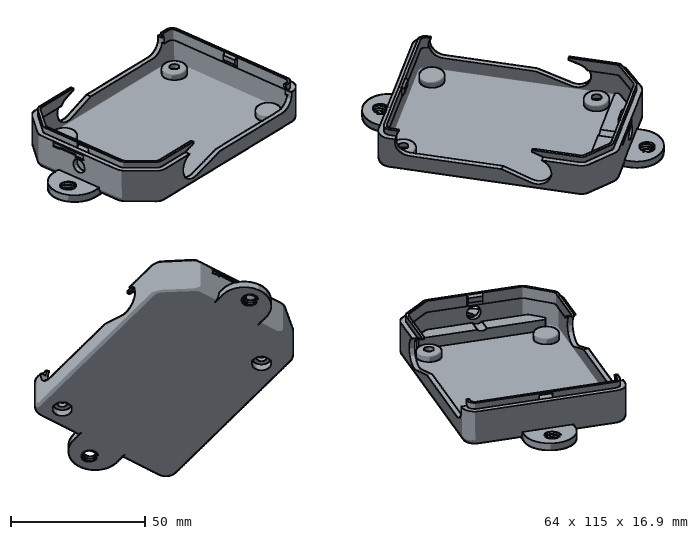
import cadquery as cq
import math

body_width = 64.0
body_length = 90.0
rim_height = 14.4
wall = 2.1
floor_thickness = 2.0
corner_radius = 5.0
bottom_fillet = 2.4
floor_fillet = 0.4
bevel_x = 12.0
bevel_y = 10.0

lip_thickness = 1.05
lip_bottom = 12.2
lip_top = 16.9
tip_round = 0.45

catch_base_width = 6.2
catch_face_width = 5.5
catch_depth = 1.0
catch_face_bottom = 14.0
catch_face_top = 16.0
groove_width = 5.3
groove_depth = 1.0
groove_apex_z = 15.6
groove_top = 16.7

ear_width = 20.0
ear_thickness = 3.0
overall_length = 115.0
ear_hole_y = 51.0
thread_minor_diameter = 5.12
thread_major_diameter = 6.35
thread_pitch = 1.27
thread_mouth = 0.9 * thread_pitch
thread_root_flat = thread_pitch / 8
thread_start_angle = 180.0

boss_diameter = 9.6
boss_height = 3.0
boss_fillet = 1.0
boss_hole_diameter = 3.7
counterbore_diameter = 7.2
counterbore_depth = 3.0
boss_x = 23.0
boss_rear_y = 36.5
boss_front_y = -26.5
drilled_bosses = [(-boss_x, boss_rear_y), (boss_x, boss_front_y)]
solid_bosses = [(boss_x, boss_rear_y), (-boss_x, boss_front_y)]

led_diameter = 5.5
led_z = 8.5
block_top = 6.5
block_rear_y = -33.0
block_front_y = -39.0
block_front_half_width = 20.0
block_shoulder_half_width = 24.8
block_widest_half_width = 25.2
block_bevel_y = -35.0
mark_depth = 0.5
mark_left_x = -12.7
mark_left_leg_x = -9.5
mark_right_leg_x = -1.9
mark_right_x = 2.1
mark_top_z = 13.9
mark_bar_bottom_z = 12.5
mark_left_leg_z = 12.1
mark_right_leg_z = 11.8

rear_radius = 5.6
hook_radius = 5.9
hook_centre_z = 8.95
sill_z = 7.65
hook_tip_y = -14.3
left_rear_centre_y = 32.05
left_sill_front_y = -3.3
left_hook_centre_y = -16.4
right_rear_centre_y = 33.75
right_sill_front_y = -1.6
right_hook_centre_y = -16.8

half_width = body_width / 2
half_length = body_length / 2
lip_inset = wall + lip_thickness
boss_top = floor_thickness + boss_height
overshoot = 1.0


def prism(inset, bottom, top):
    """Solid between two heights whose outline lies inset from the body outline."""
    corners = [
        (-half_width, half_length),
        (half_width, half_length),
        (half_width, -half_length + bevel_y),
        (half_width - bevel_x, -half_length),
        (-half_width + bevel_x, -half_length),
        (-half_width, -half_length + bevel_y),
    ]
    section = cq.Workplane("XY", origin=(0, 0, bottom)).polyline(corners).close()
    if inset > 0:
        section = section.offset2D(-inset)
    return section.extrude(top - bottom).edges("|Z").fillet(corner_radius - inset)


def make_shell():
    """Open tray with its two ears, hollowed last so the ears stay out of the cavity."""
    outer = prism(0, 0, rim_height).faces("<Z").edges().fillet(bottom_fillet)
    cavity = prism(wall, floor_thickness, rim_height)
    cavity = cavity.faces("<Z").edges().fillet(floor_fillet)
    return outer.union(front_and_rear(ear())).cut(cavity)


def make_lip():
    outer = prism(wall, lip_bottom, lip_top)
    return outer.cut(prism(lip_inset, lip_bottom, lip_top))


def catch_bump():
    """Tapered bump on the inner face of the front lip, pointing to +Y."""
    lip_face_y = -half_length + lip_inset
    base_z = (lip_top + lip_bottom) / 2
    face_z = (catch_face_top + catch_face_bottom) / 2
    return (
        cq.Workplane("XZ", origin=(0, lip_face_y, base_z))
        .rect(catch_base_width, lip_top - lip_bottom)
        .workplane(offset=-catch_depth)
        .center(0, face_z - base_z)
        .rect(catch_face_width, catch_face_top - catch_face_bottom)
        .loft(combine=True, ruled=True)
    )


def catch_groove():
    """V groove across the outer face of the front lip."""
    outer_y = -half_length + wall
    profile = [
        (outer_y, rim_height),
        (outer_y + groove_depth, groove_apex_z),
        (outer_y, groove_top),
    ]
    groove = cq.Workplane("YZ", origin=(-groove_width / 2, 0, 0)).polyline(profile).close()
    return groove.extrude(groove_width)


def front_and_rear(feature):
    """The front feature together with its mirror image at the rear."""
    return feature.union(feature.mirror("XZ"))


def side_opening(side, rear_centre_y, sill_front_y, hook_centre_y):
    """Cutter for one side wall: a round rear corner, a low sill and a hooked front slot."""
    rear_centre_z = sill_z + rear_radius
    rear_top_y = rear_centre_y + math.sqrt(rear_radius**2 - (lip_top - rear_centre_z) ** 2)

    sill_dy = sill_front_y - hook_centre_y
    sill_dz = sill_z - hook_centre_z
    half_angle = math.acos(hook_radius / math.hypot(sill_dy, sill_dz))
    normal_angle = math.atan2(sill_dz, sill_dy) - half_angle
    normal_dy = hook_radius * math.cos(normal_angle)
    normal_dz = hook_radius * math.sin(normal_angle)
    ramp_end = (hook_centre_y + normal_dy, hook_centre_z + normal_dz)
    slot_end = (hook_centre_y + normal_dz, hook_centre_z - normal_dy)
    hook_start = (hook_centre_y - normal_dy, hook_centre_z - normal_dz)
    hook_tip_z = hook_start[1] - (hook_tip_y - hook_start[0]) * normal_dy / normal_dz

    cutter_depth = lip_inset + 2 * overshoot
    inner_x = half_width - lip_inset - overshoot
    opening = (
        cq.Workplane("YZ", origin=(inner_x, 0, 0))
        .moveTo(rear_top_y, lip_top)
        .threePointArc((rear_centre_y + rear_radius, rear_centre_z), (rear_centre_y, sill_z))
        .lineTo(sill_front_y, sill_z)
        .lineTo(*ramp_end)
        .threePointArc(slot_end, hook_start)
        .lineTo(hook_tip_y, hook_tip_z)
        .lineTo(hook_tip_y, lip_top)
        .close()
        .extrude(cutter_depth)
    )
    return opening if side > 0 else opening.mirror("YZ")


def round_lip_tips(part):
    """Round the upper edge of every lip end beside the side openings."""
    edges = cq.selectors.BoxSelector(
        (-half_width, hook_tip_y - tip_round, lip_top - tip_round),
        (half_width, half_length - corner_radius, lip_top + tip_round),
    )
    return part.edges(edges).edges("|X").fillet(tip_round)


def ear():
    """Front mounting ear, reaching under the body wall."""
    tip_y = -overall_length / 2
    centre_y = tip_y + ear_width / 2
    inner_y = -half_length + bottom_fillet
    return (
        cq.Workplane("XY")
        .moveTo(-ear_width / 2, inner_y)
        .lineTo(-ear_width / 2, centre_y)
        .threePointArc((0, tip_y), (ear_width / 2, centre_y))
        .lineTo(ear_width / 2, inner_y)
        .close()
        .extrude(ear_thickness)
    )


def thread_bore(y):
    hole = cq.Workplane("XY").center(0, y).circle(thread_minor_diameter / 2)
    return hole.extrude(ear_thickness)


def thread_groove(y):
    """Helical V groove cut into the wall of an ear bore, running past both of its ends."""
    minor_radius = thread_minor_diameter / 2
    major_radius = thread_major_diameter / 2
    inner_radius = minor_radius - (major_radius - minor_radius) / 4
    path = cq.Wire.makeHelix(thread_pitch, ear_thickness + 2 * thread_pitch, minor_radius)
    groove = (
        cq.Workplane("XZ")
        .moveTo(inner_radius, -thread_mouth / 2)
        .lineTo(minor_radius, -thread_mouth / 2)
        .lineTo(major_radius, -thread_root_flat / 2)
        .lineTo(major_radius, thread_root_flat / 2)
        .lineTo(minor_radius, thread_mouth / 2)
        .lineTo(inner_radius, thread_mouth / 2)
        .close()
        .sweep(cq.Workplane(obj=path), isFrenet=True)
    )
    groove = groove.rotate((0, 0, 0), (0, 0, 1), thread_start_angle)
    return groove.translate((0, y, -thread_pitch))


def boss(x, y):
    post = cq.Workplane("XY", origin=(x, y, floor_thickness / 2)).circle(boss_diameter / 2)
    post = post.extrude(boss_top - floor_thickness / 2)
    return post.faces(">Z").edges().fillet(boss_fillet)


def boss_hole(x, y):
    """Through hole in a boss, counterbored from the underside."""
    hole = cq.Workplane("XY").center(x, y).circle(boss_hole_diameter / 2).extrude(boss_top)
    recess = cq.Workplane("XY").center(x, y).circle(counterbore_diameter / 2)
    return hole.union(recess.extrude(counterbore_depth))


def light_block():
    """Low block behind the LED port, its front corners bevelled."""
    right_half = (
        cq.Workplane("XY", origin=(0, 0, floor_thickness / 2))
        .moveTo(0, block_front_y)
        .lineTo(block_front_half_width, block_front_y)
        .lineTo(block_shoulder_half_width, block_bevel_y)
        .threePointArc(
            (block_widest_half_width, (block_bevel_y + block_rear_y) / 2),
            (block_shoulder_half_width, block_rear_y),
        )
        .lineTo(0, block_rear_y)
        .close()
        .extrude(block_top - floor_thickness / 2)
    )
    return right_half.union(right_half.mirror("YZ"))


def led_port():
    """Bore through the front wall that also hollows a channel across the light block."""
    port = cq.Workplane("XZ", origin=(0, -half_length, led_z)).circle(led_diameter / 2)
    return port.extrude(-(half_length + block_rear_y))


def pointer_mark():
    """Shallow bracket engraved above the LED port."""
    outline = [
        (mark_left_x, mark_top_z),
        (mark_right_x, mark_top_z),
        (mark_right_x, mark_right_leg_z),
        (mark_right_leg_x, mark_right_leg_z),
        (mark_right_leg_x, mark_bar_bottom_z),
        (mark_left_leg_x, mark_bar_bottom_z),
        (mark_left_leg_x, mark_left_leg_z),
        (mark_left_x, mark_left_leg_z),
    ]
    mark = cq.Workplane("XZ", origin=(0, -half_length, 0)).polyline(outline).close()
    return mark.extrude(-mark_depth)


result = make_shell().union(make_lip())
result = result.union(front_and_rear(catch_bump())).cut(front_and_rear(catch_groove()))
result = result.cut(side_opening(-1, left_rear_centre_y, left_sill_front_y, left_hook_centre_y))
result = result.cut(side_opening(1, right_rear_centre_y, right_sill_front_y, right_hook_centre_y))
result = round_lip_tips(result)
for hole_y in (-ear_hole_y, ear_hole_y):
    result = result.cut(thread_bore(hole_y)).cut(thread_groove(hole_y))
for boss_centre in drilled_bosses + solid_bosses:
    result = result.union(boss(*boss_centre))
for boss_centre in drilled_bosses:
    result = result.cut(boss_hole(*boss_centre))
result = result.union(light_block()).cut(led_port()).cut(pointer_mark())